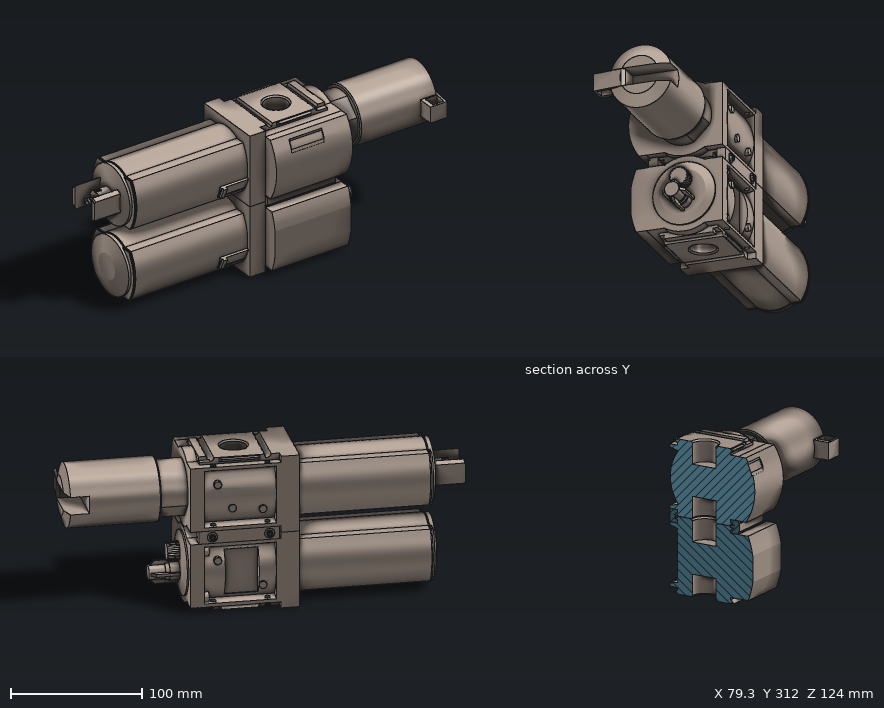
import cadquery as cq
import math


HALF = 31.0
UNIT_Z = {"regulator": HALF, "lubricator": -HALF}
BODY_FRONT_Y = -45.3
BODY_BACK_Y = 39.5
RAIL_FRONT_Y = -31.0
RAIL_BACK_Y = 31.0
RECESS_DEPTH = 5.1
CORE_HALF = HALF - RECESS_DEPTH
CAP_RADIUS = 30.6
PAD_HALF_X = 24.0
CORNER_NOTCH_X = 20.0
CORNER_NOTCH_Y = 22.6
CORNER_NOTCH_DEPTH = 3.0

GROOVE_DEPTH = 2.7
GROOVE_WIDTH = 5.0
GROOVE_FLOOR = 4.3
GROOVE_ROUND_RUN = 1.0
GROOVE_ROUND_DEPTH = 2.0
GROOVE_START_Y = (19.8, -24.6)
SCREW_Y = tuple(y + GROOVE_WIDTH / 2 for y in GROOVE_START_Y)

WEDGE_REACH = 3.3
WEDGE_TOP_STEP = 0.8
WEDGE_HEIGHT = 2.8
WEDGE_HALF_LENGTH = 16.0
WEDGE_CORNER = 2.2

PORT_DIAMETER = 20.5
PORT_MOUTH_DIAMETER = 23.0
PORT_DEPTH = 18.0
RAIL_HOLE_DIAMETER = 4.0
RAIL_HOLE_X = -27.5
RAIL_HOLE_Y = 21.0

WINDOW_FRONT_Y = -27.3
WINDOW_BACK_Y = 28.4
WINDOW_HALF_Z = 23.1
WINDOW_FLOOR_HALF_Z = 21.2
WINDOW_EDGE_X = -23.5
WINDOW_CROWN_X = -30.6
STUD_DIAMETER = 5.9
STUD_PLACES = {
    "regulator": ((18.0, 11.0), (6.6, -8.6), (-17.0, -10.9)),
    "lubricator": ((18.0, 11.0), (-17.0, -10.9)),
}
FLAT_POCKET_Y = (-14.1, 12.2)
FLAT_POCKET_HALF_Z = 18.3
FLAT_POCKET_FLOOR_X = -24.0
CLIP_WIDTH = 3.7
CLIP_DIAMETER = 8.6
CLIP_X = -26.5

COVER_FRONT_Y = -30.8
COVER_HALF_Z = 25.8
REGULATOR_COVER_EDGE_X = 37.5
REGULATOR_COVER_CROWN_X = 45.8
LUBRICATOR_COVER_EDGE_X = 39.7
LUBRICATOR_COVER_FLAT_X = 43.9
LUBRICATOR_COVER_FLAT_HALF_Z = 10.6
COVER_SLOT_X = (39.6, 43.1)
COVER_SLOT_HALF_Y = 15.0
COVER_SLOT_DEPTH = 1.0

BOWL_DIAMETER = 50.4
BOWL_SIDE_X = 28.2
BOWL_CORNER_X = 22.0
BOWL_FLAT_Z = 21.1
BOWL_GROOVE_WIDTH = 1.0
BOWL_GROOVE_DEPTH = 0.4
BOWL_END_Y = {"regulator": -149.7, "lubricator": -150.7}
BOWL_GROOVE_GAP = 1.2
BOWL_RIM = 2.2
BOWL_DOME = 2.8
BOWL_DOME_FLAT_DIAMETER = 22.0
LATCH_ANGLE = -25.0
LATCH_RADIUS = 29.8
LATCH_LENGTH = 25.2
LATCH_WIDTH = 11.0
LATCH_THICKNESS = 4.0
LATCH_GRIP_START = 20.5
LATCH_GRIP_LENGTH = 3.5
LATCH_GRIP_RISE = 2.0

DRAIN_DIAMETER = 15.0
DRAIN_END_Y = -166.6
DRAIN_NOTCH_WIDTH = 2.0
DRAIN_NOTCH_LENGTH = 5.0
DRAIN_NOTCH_DEPTH = 1.0
NEEDLE_DIAMETER = 5.0
NEEDLE_HEAD_DIAMETER = 6.4
NEEDLE_HEAD_LENGTH = 2.2
NEEDLE_BORE_DIAMETER = 3.4
NEEDLE_BORE_DEPTH = 5.0
NEEDLE_END_Y = -174.2
GUARD_END_Y = -177.5
GUARD_X = (11.3, 14.9)
GUARD_HALF_Z = 10.3
GUARD_OUTER_HALF_Z = 8.2
GUARD_CHAMFER = 1.0

NECK_DIAMETER = 44.4
NECK_FLAT_DISTANCE = 20.2
KNOB_DIAMETER = 51.0
KNOB_FRONT_Y = 60.6
KNOB_SHOULDER_Y = 131.1
KNOB_END_Y = 134.54
KNOB_TOP_RADIUS = 15.5
KNOB_EDGE_CHAMFER = 1.0
LOCK_SLOT_FRONT_Y = 116.4
LOCK_HALF_Z = 7.1
LOCK_SLOT_FLOOR_X = 12.0
LOCK_TOP_CHAMFER = 2.7
LOCK_OUTER_X = 38.2
LOCK_CORNER_Y = 131.8
LOCK_WINDOW_X = (25.7, 36.2)
LOCK_WINDOW_FRONT_Y = 120.2
LOCK_WINDOW_BACK_Y = (131.0, 129.8)

CAP_DISC_RADIUS = 25.5
CAP_DISC_EDGE_Y = 40.7
CAP_DISC_TOP_RADIUS = 18.6
CAP_DISC_TOP_Y = 42.7
PLUG_Z = 9.9
PLUG_DIAMETER = 15.0
PLUG_END_Y = 52.2
PLUG_RIBS = 16
PLUG_RIB_DIAMETER = 1.5
DIAL_Z = -6.0
DIAL_BASE_DIAMETER = 15.0
DIAL_BASE_END_Y = 50.3
DIAL_COLLAR_DIAMETER = 13.4
DIAL_COLLAR_END_Y = 53.6
DIAL_STEM_DIAMETER = 11.8
DIAL_END_Y = 66.4
DIAL_FIN_HALF_WIDTH = 9.4
DIAL_FIN_CHAMFER = 5.0
DIAL_FIN_THICKNESS = 2.3

CONNECTOR_Y = (-29.8, 32.9)
CONNECTOR_TAB_X = 32.0
CONNECTOR_TAB_HALF_Z = 3.5
SCREW_TIP_X = -33.5
SCREW_TIP_DIAMETER = 4.6
SCREW_COLLAR_DIAMETER = 7.8
SCREW_COLLAR_THICKNESS = 1.5
SCREW_SHANK_DIAMETER = 3.24
SCREW_SHANK_LENGTH = 4.0
SCREW_TIP_CHAMFER = 0.6
SCREW_SOCKET_SIZE = 2.6
SCREW_SOCKET_DEPTH = 1.5


def block(x_range, y_range, z_range):
    """Box between three pairs of planes."""
    size = [high - low for low, high in (x_range, y_range, z_range)]
    corner = (x_range[0], y_range[0], z_range[0])
    return cq.Workplane("XY").box(*size, centered=False).translate(corner)


def rod(diameter, start_y, end_y, x=0.0, z=0.0):
    """Cylinder along Y."""
    axis = cq.Vector(0, math.copysign(1, end_y - start_y), 0)
    solid = cq.Solid.makeCylinder(diameter / 2, abs(end_y - start_y), cq.Vector(x, start_y, z), axis)
    return cq.Workplane(obj=solid)


def rod_x(diameter, start_x, end_x, y, z):
    """Cylinder along +X."""
    start = cq.Vector(start_x, y, z)
    solid = cq.Solid.makeCylinder(diameter / 2, end_x - start_x, start, cq.Vector(1, 0, 0))
    return cq.Workplane(obj=solid)


def along_y(profile, start_y, end_y):
    """Extrude a closed XZ profile between two Y planes."""
    return profile.extrude(start_y - end_y).translate((0, start_y, 0))


def both_sides(solid, plane):
    """The solid together with its mirror image."""
    return solid.union(solid.mirror(plane))



def groove(start_y):
    profile = (
        cq.Workplane("YZ")
        .moveTo(start_y, HALF)
        .threePointArc(
            (start_y + GROOVE_ROUND_RUN, HALF - GROOVE_ROUND_DEPTH),
            (start_y + GROOVE_FLOOR, HALF - GROOVE_DEPTH),
        )
        .lineTo(start_y + GROOVE_WIDTH, HALF)
        .close()
    )
    return profile.extrude(HALF, both=True)


def wedge():
    """Undercut strip on the -X side of the upper pad, narrowing downwards."""
    top = HALF - WEDGE_TOP_STEP
    section = [
        (-PAD_HALF_X, top),
        (-PAD_HALF_X - WEDGE_REACH, top),
        (-PAD_HALF_X, top - WEDGE_HEIGHT),
    ]
    strip = cq.Workplane("XZ").polyline(section).close().extrude(WEDGE_HALF_LENGTH, both=True)
    plan = [
        (-PAD_HALF_X, -WEDGE_HALF_LENGTH),
        (-PAD_HALF_X, WEDGE_HALF_LENGTH),
        (-PAD_HALF_X - WEDGE_REACH, WEDGE_HALF_LENGTH - WEDGE_CORNER),
        (-PAD_HALF_X - WEDGE_REACH, -WEDGE_HALF_LENGTH + WEDGE_CORNER),
    ]
    return strip.intersect(cq.Workplane("XY").polyline(plan).close().extrude(HALF))


def port():
    mouth = (PORT_MOUTH_DIAMETER - PORT_DIAMETER) / 2
    points = [
        (0, HALF),
        (PORT_MOUTH_DIAMETER / 2, HALF),
        (PORT_DIAMETER / 2, HALF - mouth),
        (PORT_DIAMETER / 2, HALF - PORT_DEPTH),
        (0, HALF - PORT_DEPTH),
    ]
    return cq.Workplane("XZ").polyline(points).close().revolve(360, (0, 0), (0, 1))


def port_pad():
    """Raised pad of the +Z port side with its grooves, notches and wedges."""
    pad = block((-PAD_HALF_X, PAD_HALF_X), (RAIL_FRONT_Y, RAIL_BACK_Y), (CORE_HALF, HALF))
    for start_y in GROOVE_START_Y:
        pad = pad.cut(groove(start_y))
    notch_z = (HALF - CORNER_NOTCH_DEPTH, HALF)
    notch = block((CORNER_NOTCH_X, PAD_HALF_X), (CORNER_NOTCH_Y, RAIL_BACK_Y), notch_z)
    pad = pad.cut(both_sides(notch, "YZ"))
    return pad.union(both_sides(wedge(), "YZ"))


def window():
    """Cutter for the -X window; its floor bulges outwards."""
    profile = (
        cq.Workplane("XZ")
        .moveTo(-HALF, -WINDOW_HALF_Z)
        .lineTo(WINDOW_EDGE_X, -WINDOW_FLOOR_HALF_Z)
        .threePointArc((WINDOW_CROWN_X, 0), (WINDOW_EDGE_X, WINDOW_FLOOR_HALF_Z))
        .lineTo(-HALF, WINDOW_HALF_Z)
        .close()
    )
    return along_y(profile, WINDOW_FRONT_Y, WINDOW_BACK_Y)


def unit_body(stud_places):
    side = (-HALF, HALF)
    core = (-CORE_HALF, CORE_HALF)
    body = block(side, (BODY_FRONT_Y, RAIL_FRONT_Y), side)
    body = body.union(block(side, (RAIL_FRONT_Y, BODY_BACK_Y), core))
    body = body.union(rod(2 * CAP_RADIUS, RAIL_BACK_Y, BODY_BACK_Y))
    body = body.union(both_sides(port_pad(), "XY"))
    body = body.cut(both_sides(port(), "XY")).cut(window())
    for y in (-RAIL_HOLE_Y, RAIL_HOLE_Y):
        start = cq.Workplane("XY", origin=(RAIL_HOLE_X, y, WINDOW_FLOOR_HALF_Z))
        hole = start.circle(RAIL_HOLE_DIAMETER / 2).extrude(CORE_HALF - WINDOW_FLOOR_HALF_Z)
        body = body.cut(both_sides(hole, "XY"))
    for y, z in stud_places:
        body = body.union(rod_x(STUD_DIAMETER, -HALF, WINDOW_EDGE_X, y, z))
    return body



def bowl_section(inset=0.0):
    """Outline of bulged side walls with a flat top and bottom."""
    return (
        cq.Workplane("XZ")
        .moveTo(-BOWL_CORNER_X + inset, -BOWL_FLAT_Z + inset)
        .lineTo(BOWL_CORNER_X - inset, -BOWL_FLAT_Z + inset)
        .threePointArc((BOWL_SIDE_X - inset, 0), (BOWL_CORNER_X - inset, BOWL_FLAT_Z - inset))
        .lineTo(-BOWL_CORNER_X + inset, BOWL_FLAT_Z - inset)
        .threePointArc((-BOWL_SIDE_X + inset, 0), (-BOWL_CORNER_X + inset, -BOWL_FLAT_Z + inset))
        .close()
    )


def bowl_stretch(start_y, end_y, inset=0.0):
    """Stretch of the bowl between two Y planes, set in from the full outline."""
    shell = along_y(bowl_section(inset), end_y, start_y)
    return shell.union(rod(BOWL_DIAMETER - 2 * inset, start_y, end_y))


def latch():
    slider = block(
        (LATCH_RADIUS - LATCH_THICKNESS, LATCH_RADIUS),
        (BODY_FRONT_Y - LATCH_LENGTH, BODY_FRONT_Y),
        (-LATCH_WIDTH / 2, LATCH_WIDTH / 2),
    )
    grip_y = BODY_FRONT_Y - LATCH_GRIP_START
    grip = block(
        (LATCH_RADIUS - LATCH_THICKNESS, LATCH_RADIUS + LATCH_GRIP_RISE),
        (grip_y - LATCH_GRIP_LENGTH, grip_y),
        (-LATCH_WIDTH / 2, LATCH_WIDTH / 2),
    )
    return slider.union(grip).rotate((0, 0, 0), (0, 1, 0), -LATCH_ANGLE)


def bowl(end_y):
    groove_end_y = end_y + BOWL_GROOVE_GAP
    groove_start_y = groove_end_y + BOWL_GROOVE_WIDTH
    solid = bowl_stretch(BODY_FRONT_Y, groove_start_y)
    solid = solid.union(bowl_stretch(groove_start_y, groove_end_y, BOWL_GROOVE_DEPTH))
    solid = solid.union(bowl_stretch(groove_end_y, end_y))
    rim_y = end_y - BOWL_RIM
    dome = [
        (0, end_y),
        (BOWL_DIAMETER / 2, end_y),
        (BOWL_DIAMETER / 2, rim_y),
        (BOWL_DOME_FLAT_DIAMETER / 2, rim_y - BOWL_DOME),
        (0, rim_y - BOWL_DOME),
    ]
    solid = solid.union(cq.Workplane("XY").polyline(dome).close().revolve(360, (0, 0), (0, 1)))
    return solid.union(latch())


def drain():
    """Drain boss with its needle, and the two guard plates beside it."""
    root_y = BOWL_END_Y["regulator"]
    boss = rod(DRAIN_DIAMETER, root_y, DRAIN_END_Y)
    notch = block(
        (-DRAIN_NOTCH_WIDTH / 2, DRAIN_NOTCH_WIDTH / 2),
        (DRAIN_END_Y, DRAIN_END_Y + DRAIN_NOTCH_LENGTH),
        (DRAIN_DIAMETER / 2 - DRAIN_NOTCH_DEPTH, DRAIN_DIAMETER / 2),
    )
    for quarter in range(4):
        boss = boss.cut(notch.rotate((0, 0, 0), (0, 1, 0), 90 * quarter))
    needle = rod(NEEDLE_DIAMETER, root_y, NEEDLE_END_Y)
    needle = needle.union(rod(NEEDLE_HEAD_DIAMETER, NEEDLE_END_Y + NEEDLE_HEAD_LENGTH, NEEDLE_END_Y))
    needle = needle.cut(rod(NEEDLE_BORE_DIAMETER, NEEDLE_END_Y, NEEDLE_END_Y + NEEDLE_BORE_DEPTH))
    section = [
        (GUARD_X[0], -GUARD_HALF_Z),
        (GUARD_X[1], -GUARD_OUTER_HALF_Z),
        (GUARD_X[1], GUARD_OUTER_HALF_Z),
        (GUARD_X[0], GUARD_HALF_Z),
    ]
    guard = along_y(cq.Workplane("XZ").polyline(section).close(), GUARD_END_Y, root_y)
    guard = guard.faces("<Y").edges("not |Z").chamfer(GUARD_CHAMFER)
    return boss.union(needle).union(both_sides(guard, "YZ"))



def crowned_cover(inset=0.0):
    """Cover with a cylindrical outer face, set back by the inset."""
    profile = (
        cq.Workplane("XZ")
        .moveTo(HALF, -COVER_HALF_Z)
        .lineTo(REGULATOR_COVER_EDGE_X - inset, -COVER_HALF_Z)
        .threePointArc(
            (REGULATOR_COVER_CROWN_X - inset, 0),
            (REGULATOR_COVER_EDGE_X - inset, COVER_HALF_Z),
        )
        .lineTo(HALF, COVER_HALF_Z)
        .close()
    )
    return along_y(profile, COVER_FRONT_Y, BODY_BACK_Y)


def regulator_cover():
    """Crowned cover with a shallow slot in the upper half of its outer face."""
    slot = block(COVER_SLOT_X, (-COVER_SLOT_HALF_Y, COVER_SLOT_HALF_Y), (0, COVER_HALF_Z))
    slot = slot.cut(crowned_cover(COVER_SLOT_DEPTH))
    return crowned_cover().cut(slot)


def lubricator_cover():
    run = LUBRICATOR_COVER_FLAT_X - LUBRICATOR_COVER_EDGE_X
    half_flat = LUBRICATOR_COVER_FLAT_HALF_Z
    flat_corner = LUBRICATOR_COVER_FLAT_X**2 + half_flat**2
    edge_corner = LUBRICATOR_COVER_EDGE_X**2 + COVER_HALF_Z**2
    center_x = (flat_corner - edge_corner) / (2 * run)
    radius = math.hypot(LUBRICATOR_COVER_FLAT_X - center_x, half_flat)
    middle_z = (half_flat + COVER_HALF_Z) / 2
    middle_x = center_x + math.sqrt(radius**2 - middle_z**2)
    profile = (
        cq.Workplane("XZ")
        .moveTo(HALF, -COVER_HALF_Z)
        .lineTo(LUBRICATOR_COVER_EDGE_X, -COVER_HALF_Z)
        .threePointArc((middle_x, -middle_z), (LUBRICATOR_COVER_FLAT_X, -half_flat))
        .lineTo(LUBRICATOR_COVER_FLAT_X, half_flat)
        .threePointArc((middle_x, middle_z), (LUBRICATOR_COVER_EDGE_X, COVER_HALF_Z))
        .lineTo(HALF, COVER_HALF_Z)
        .close()
    )
    return along_y(profile, COVER_FRONT_Y, BODY_BACK_Y)



def neck():
    solid = rod(NECK_DIAMETER, BODY_BACK_Y, KNOB_FRONT_Y)
    flats = (
        cq.Workplane("XZ")
        .rect(2 * NECK_FLAT_DISTANCE, NECK_DIAMETER)
        .extrude(-KNOB_FRONT_Y)
        .rotate((0, 0, 0), (0, 1, 0), -45)
    )
    return solid.intersect(flats)


def knob():
    radius = KNOB_DIAMETER / 2
    outline = [
        (0, KNOB_FRONT_Y),
        (radius - KNOB_EDGE_CHAMFER, KNOB_FRONT_Y),
        (radius, KNOB_FRONT_Y + KNOB_EDGE_CHAMFER),
        (radius, KNOB_SHOULDER_Y),
        (KNOB_TOP_RADIUS, KNOB_END_Y),
        (0, KNOB_END_Y),
    ]
    solid = cq.Workplane("XY").polyline(outline).close().revolve(360, (0, 0), (0, 1))
    lock_z = (-LOCK_HALF_Z, LOCK_HALF_Z)
    slot = block((-radius, LOCK_SLOT_FLOOR_X + LOCK_TOP_CHAMFER), (LOCK_SLOT_FRONT_Y, KNOB_END_Y), lock_z)
    return solid.cut(slot).union(lock_loop())


def lock_loop():
    """Padlock loop standing out of the knob on the +X side."""
    outline = [
        (LOCK_SLOT_FLOOR_X, LOCK_SLOT_FRONT_Y),
        (LOCK_OUTER_X, LOCK_SLOT_FRONT_Y),
        (LOCK_OUTER_X, LOCK_CORNER_Y),
        (LOCK_SLOT_FLOOR_X + LOCK_TOP_CHAMFER, KNOB_END_Y),
        (LOCK_SLOT_FLOOR_X, KNOB_END_Y - LOCK_TOP_CHAMFER),
    ]
    loop = cq.Workplane("XY").polyline(outline).close().extrude(LOCK_HALF_Z, both=True)
    inner_x, outer_x = LOCK_WINDOW_X
    inner_back_y, outer_back_y = LOCK_WINDOW_BACK_Y
    opening = [
        (inner_x, LOCK_WINDOW_FRONT_Y),
        (outer_x, LOCK_WINDOW_FRONT_Y),
        (outer_x, outer_back_y),
        (inner_x, inner_back_y),
    ]
    return loop.cut(cq.Workplane("XY").polyline(opening).close().extrude(LOCK_HALF_Z, both=True))


def make_regulator():
    name = "regulator"
    unit = unit_body(STUD_PLACES[name])
    unit = unit.union(regulator_cover()).union(bowl(BOWL_END_Y[name])).union(drain())
    unit = unit.union(neck()).union(knob())
    return unit.translate((0, 0, UNIT_Z[name]))



def lubricator_cap():
    outline = [
        (0, BODY_BACK_Y),
        (CAP_DISC_RADIUS, BODY_BACK_Y),
        (CAP_DISC_RADIUS, CAP_DISC_EDGE_Y),
        (CAP_DISC_TOP_RADIUS, CAP_DISC_TOP_Y),
        (0, CAP_DISC_TOP_Y),
    ]
    return cq.Workplane("XY").polyline(outline).close().revolve(360, (0, 0), (0, 1))


def filler_plug():
    plug = rod(PLUG_DIAMETER, BODY_BACK_Y, PLUG_END_Y, z=PLUG_Z)
    flutes = (
        cq.Workplane("XZ")
        .center(0, PLUG_Z)
        .polarArray(PLUG_DIAMETER / 2, 0, 360, PLUG_RIBS)
        .circle(PLUG_RIB_DIAMETER / 2)
        .extrude(-PLUG_END_Y)
    )
    return plug.cut(flutes)


def drip_dial():
    dial = rod(DIAL_BASE_DIAMETER, BODY_BACK_Y, DIAL_BASE_END_Y, z=DIAL_Z)
    dial = dial.union(rod(DIAL_COLLAR_DIAMETER, BODY_BACK_Y, DIAL_COLLAR_END_Y, z=DIAL_Z))
    dial = dial.union(rod(DIAL_STEM_DIAMETER, BODY_BACK_Y, DIAL_END_Y, z=DIAL_Z))
    fin = block(
        (-DIAL_FIN_THICKNESS / 2, DIAL_FIN_THICKNESS / 2),
        (BODY_BACK_Y, DIAL_END_Y),
        (-DIAL_FIN_HALF_WIDTH, DIAL_FIN_HALF_WIDTH),
    )
    fin = fin.faces(">Y").edges("|X").chamfer(DIAL_FIN_CHAMFER)
    for angle in (0, 90):
        dial = dial.union(fin.rotate((0, 0, 0), (0, 1, 0), angle).translate((0, 0, DIAL_Z)))
    return dial


def window_clips():
    """Two small round clips in the +Y corners of the window."""
    clip_z = WINDOW_HALF_Z - CLIP_DIAMETER / 2
    clip = rod(CLIP_DIAMETER, WINDOW_BACK_Y - CLIP_WIDTH, WINDOW_BACK_Y, CLIP_X, clip_z)
    return both_sides(clip, "XY")


def make_lubricator():
    name = "lubricator"
    unit = unit_body(STUD_PLACES[name])
    pocket_z = (-FLAT_POCKET_HALF_Z, FLAT_POCKET_HALF_Z)
    unit = unit.cut(block((-HALF, FLAT_POCKET_FLOOR_X), FLAT_POCKET_Y, pocket_z))
    unit = unit.union(window_clips())
    unit = unit.union(lubricator_cover()).union(bowl(BOWL_END_Y[name]))
    unit = unit.union(lubricator_cap()).union(filler_plug()).union(drip_dial())
    return unit.translate((0, 0, UNIT_Z[name]))



def make_screw(y):
    collar_end_x = -HALF + SCREW_COLLAR_THICKNESS
    screw = rod_x(SCREW_TIP_DIAMETER, SCREW_TIP_X, collar_end_x, y, 0)
    screw = screw.faces("<X").chamfer(SCREW_TIP_CHAMFER)
    screw = screw.union(rod_x(SCREW_COLLAR_DIAMETER, -HALF, collar_end_x, y, 0))
    screw = screw.union(rod_x(SCREW_SHANK_DIAMETER, collar_end_x, collar_end_x + SCREW_SHANK_LENGTH, y, 0))
    socket = cq.Workplane("YZ").center(y, 0).polygon(6, SCREW_SOCKET_SIZE).extrude(SCREW_SOCKET_DEPTH)
    return screw.cut(socket.translate((SCREW_TIP_X, 0, 0)))


def make_connector(units, fasteners):
    """Frame filling the side recesses and pad grooves where the two units meet."""
    rail_z = (-RECESS_DEPTH, RECESS_DEPTH)
    rail = block((-HALF, -PAD_HALF_X), CONNECTOR_Y, rail_z)
    frame = both_sides(rail, "YZ")
    tab_z = (-CONNECTOR_TAB_HALF_Z, CONNECTOR_TAB_HALF_Z)
    frame = frame.union(block((PAD_HALF_X, CONNECTOR_TAB_X), CONNECTOR_Y, tab_z))
    for start_y in GROOVE_START_Y:
        bar_y = (start_y, start_y + GROOVE_WIDTH)
        frame = frame.union(block((-PAD_HALF_X, PAD_HALF_X), bar_y, (-GROOVE_DEPTH, GROOVE_DEPTH)))
    for neighbour in units + fasteners:
        frame = frame.cut(neighbour)
    return frame


regulator = make_regulator()
lubricator = make_lubricator()
screws = [make_screw(y) for y in SCREW_Y]
connector = make_connector([regulator, lubricator], screws)

result = cq.Compound.makeCompound(
    [regulator.val(), lubricator.val(), connector.val()] + [screw.val() for screw in screws]
)